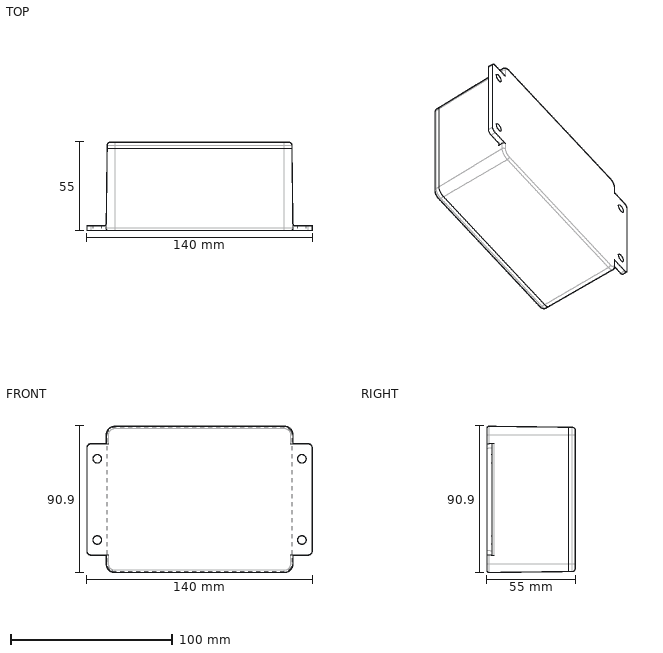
import cadquery as cq
import math

box_width = 116.1
box_height = 90.955
box_depth = 54.98
corner_radius = 5.5
wall_draft = 0.7
front_edge_radius = 1.5

lid_thickness = 4.1
lid_edge_radius = 2.0
parting_plane = box_depth - lid_thickness

flange_width = 140.03
flange_height = 69.4
flange_thickness = 3.1
flange_corner_radius = 2.75
flange_draft = 5.0
root_radius = 1.3

hole_diameter = 5.2
hole_spacing_x = 127.0
hole_spacing_z = 50.4


def drafted_block(start, end):
    """Solid length of the rounded, drafted enclosure from Y = start to Y = end."""
    shrink = start * math.tan(math.radians(wall_draft))
    return (
        cq.Workplane("XZ", origin=(0, start, 0))
        .sketch()
        .rect(box_width - 2 * shrink, box_height - 2 * shrink)
        .vertices()
        .fillet(corner_radius - shrink)
        .finalize()
        .extrude(start - end, taper=wall_draft)
    )


def make_flange():
    """Plate through the front of the box, its upper and lower edges narrowing toward the front."""
    half_rear = flange_height / 2
    half_front = half_rear - flange_thickness * math.tan(math.radians(flange_draft))
    profile = [
        (0, -half_front),
        (0, half_front),
        (flange_thickness, half_rear),
        (flange_thickness, -half_rear),
    ]
    plate = cq.Workplane("YZ").polyline(profile).close().extrude(flange_width / 2, both=True)
    end_corners = plate.faces("<X or >X").edges("<Z or >Z")
    return end_corners.fillet(flange_corner_radius)


def make_root_blend(side):
    """Concave fillet strip between the flange rear face and the wall on one side (-1 or +1)."""
    wall = box_width / 2
    inside = wall - root_radius
    top = flange_thickness + root_radius
    wall_at_top = wall - top * math.tan(math.radians(wall_draft))
    outer = wall_at_top + root_radius
    arc_offset = root_radius * (1 - math.sqrt(0.5))
    return (
        cq.Workplane("XY")
        .moveTo(side * inside, flange_thickness)
        .lineTo(side * outer, flange_thickness)
        .threePointArc(
            (side * (wall_at_top + arc_offset), flange_thickness + arc_offset),
            (side * wall_at_top, top),
        )
        .lineTo(side * inside, top)
        .close()
        .extrude(flange_height / 2, both=True)
    )


def make_base():
    base = drafted_block(0, parting_plane).faces("<Y").edges().fillet(front_edge_radius)
    base = base.union(make_flange())
    for side in (-1, 1):
        base = base.union(make_root_blend(side))
    holes = (
        cq.Workplane("XZ")
        .rarray(hole_spacing_x, hole_spacing_z, 2, 2)
        .circle(hole_diameter / 2)
        .extrude(-flange_thickness)
    )
    return base.cut(holes)


def make_lid():
    return drafted_block(parting_plane, box_depth).faces(">Y").edges().fillet(lid_edge_radius)


base = make_base()
lid = make_lid()

result = cq.Compound.makeCompound([base.solids().val(), lid.solids().val()])